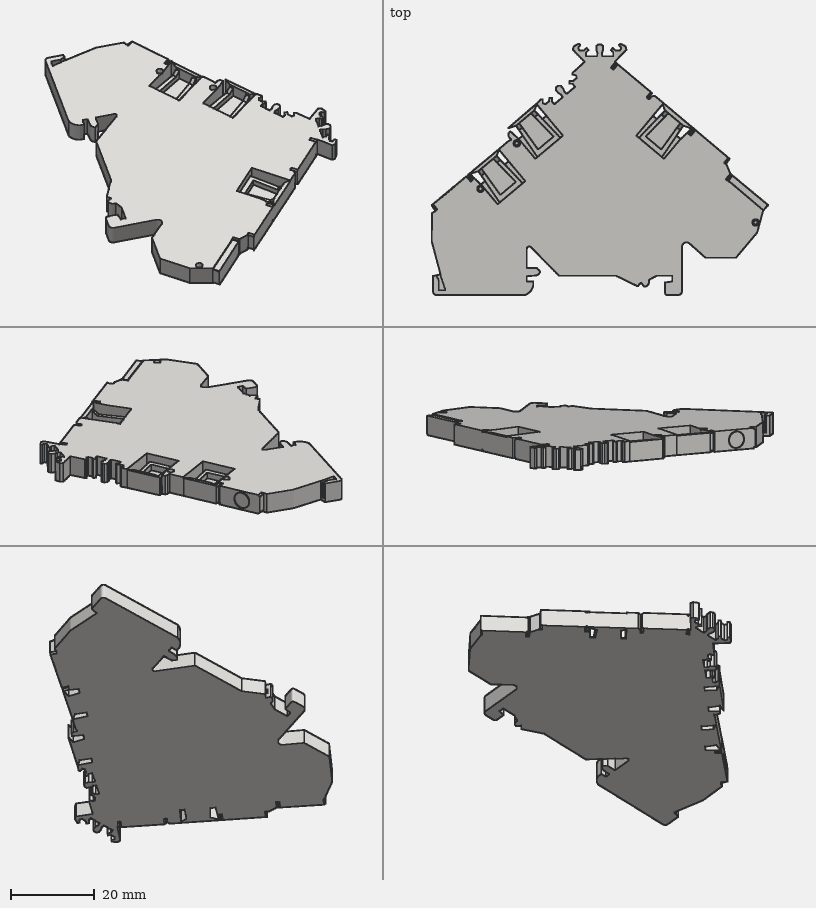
import cadquery as cq
import math

THICKNESS = 5.0
FLANK_ANGLE = 40.0
FACE_ANGLE = math.radians(FLANK_ANGLE)
LEFT_INWARD = FLANK_ANGLE - 90
RIGHT_INWARD = -90 - FLANK_ANGLE
CENTRE_X = 40.1

CROWN_BASE = (CENTRE_X, 57.0)
COMB_BASE = (31.7, 47.6)
SNAP_HALF = [
    (5.0, 3.0), (4.6, 2.65), (5.1, 1.9), (4.8, 1.4), (3.8, 1.4), (3.1, 1.9), (2.65, 1.45),
    (3.2, 0.9), (3.2, 0.0), (0.65, 0.0), (0.6, 0.7), (0.8, 1.45), (0.8, 2.4), (0.3, 2.8),
]
CROWN_HOOK_BACK = [(3.6, -1.4), (6.4, 1.5), (6.2, 2.3)]

UPPER_POCKET = (24.7, 32.5)
LOWER_POCKET = (15.75, 21.7)
POCKET_OPENING = [
    (0, 0), (8.6, 0), (8.6, 9.7), (7.3, 9.0), (1.5, 9.0), (-0.3, 9.7), (-0.3, 8.8), (0, 6.2),
]
CLAMP_BODY = [(0.65, 0), (7.8, 0), (7.2, 9.0), (1.5, 9.0)]
CLAMP_RECESS = [(1.9, 1.3), (6.75, 1.3), (6.2, 9.0), (2.5, 9.0)]
FACE_STRIP = [(-0.3, 9.7), (1.5, 9.0), (7.3, 9.0), (8.6, 9.7), (8.6, 10.45), (-0.3, 10.45)]
GAP_START = 6.2
RAMP_START = 7.7
POCKET_END = 9.0
POCKET_SPAN = 24.1
POCKET_FLOOR = 1.45
SIDE_FLOOR = 0.4
RIM_HEIGHT = 3.0
RAMP_TOP = 4.0
STRIP_RECESS = 0.25

LEFT_GROOVES = [(0.0, 21.45), (8.75, 28.8)]
RIGHT_GROOVES = [(44.1, 55.25), (52.6, 48.2), (62.6, 39.5), (71.1, 32.5), (71.6, 28.6), (80.3, 21.45)]
GROOVE_LENGTH = 1.6
GROOVE_DEPTH = 0.4
LEFT_SLOT = (8.4, 28.5)
RIGHT_SLOT = (71.4, 28.75)
SLOT_WIDTH = 0.4

LEDGE = [(71.6, 28.7), (80.3, 21.45), (79.1, 20.2), (70.6, 27.5)]

TEST_POINTS = [(20.3, 36.2), (11.65, 25.4), (77.25, 17.35)]
TEST_POINT_RADIUS = 0.8
TEST_POINT_BOTTOM_RADIUS = 0.5
TEST_POINT_DEPTH = 1.2
MARK_RADIUS = 2.0
MARK_DEPTH = 0.2
MARK_CENTRE = (3.8, 24.6)
SPRING_SLOT = [(2.1, 4.8), (3.3, 1.2), (1.7, 1.2), (1.7, 3.6), (1.1, 4.65), (1.5, 5.2)]
SPRING_SLOT_FLOOR = 0.8
LATCH_NOTCH = (49.95, 3.0)
LATCH_RELIEF_RADIUS = 0.5
LATCH_RELIEF_Z = (1.85, 3.2)


def snap_points(base, angle):
    """Snap profile from its left hook tip to its right hook tip, turned by angle about its base."""
    left = [(-u, v) for u, v in SNAP_HALF]
    return [placed(point, base, angle) for point in left + SNAP_HALF[::-1]]


def placed(point, base, angle):
    """Point at (u, v) in axes turned by angle about base."""
    u, v = point
    c = math.cos(angle)
    s = math.sin(angle)
    return (base[0] + u * c - v * s, base[1] + u * s + v * c)


def prism(points, bottom, top):
    """Upright block with the given outline, between two heights."""
    return cq.Workplane("XY").workplane(offset=bottom).polyline(points).close().extrude(top - bottom)


def mirrored(shape):
    return shape.mirror("YZ", (CENTRE_X, 0, 0))


def plate():
    """Full-height housing outline, clockwise from the spring hook at the lower left."""
    hook_left = [placed((-u, v), CROWN_BASE, 0) for u, v in CROWN_HOOK_BACK]
    hook_right = [placed(point, CROWN_BASE, 0) for point in CROWN_HOOK_BACK[::-1]]
    left_flank = [
        (2.1, 5.0), (0.0, 12.85), (0.1, 19.6), (0.9, 20.1), (0.0, 21.45), (16.1, 34.85), (18.2, 36.7),
        (18.95, 37.1), (18.4, 37.75), (18.2, 38.5), (18.8, 39.1), (19.3, 39.0), (18.2, 39.8), (25.1, 45.8),
        (25.6, 46.25),
    ]
    right_flank = [
        (52.6, 48.2), (51.55, 46.8), (52.45, 47.5), (53.25, 47.55), (71.1, 32.5), (70.3, 31.4), (71.2, 29.0),
        (80.3, 21.45), (79.1, 20.2), (77.65, 14.9), (72.6, 8.9), (65.3, 8.9), (61.5, 12.3),
    ]
    upper = left_flank + snap_points(COMB_BASE, FACE_ANGLE) + [(34.2, 53.6)]
    upper += hook_left + snap_points(CROWN_BASE, 0) + hook_right + right_flank
    return (
        cq.Workplane("XY")
        .moveTo(0.3, 4.6)
        .polyline(upper, includeCurrent=True)
        .radiusArc((59.75, 11.5), -1.05)
        .lineTo(59.75, 1.05)
        .radiusArc((58.7, 0.0), 1.05)
        .lineTo(56.2, 0.0)
        .radiusArc((55.65, 0.6), 0.6)
        .polyline([(55.65, 3.05), (57.35, 3.3), (57.35, 4.6), (53.65, 4.6), (51.8, 3.6)], includeCurrent=True)
        .radiusArc((50.7, 2.0), 1.2)
        .polyline([LATCH_NOTCH, (49.15, 2.1), (44.0, 4.6), (30.4, 4.6), (23.6, 11.5)], includeCurrent=True)
        .radiusArc((22.7, 11.2), -0.6)
        .polyline([(22.7, 6.5), (25.05, 6.5), (25.9, 5.6)], includeCurrent=True)
        .radiusArc((24.9, 4.65), 1.6)
        .polyline([(22.7, 4.5), (22.7, 3.3), (24.25, 3.3), (24.25, 2.25)], includeCurrent=True)
        .radiusArc((22.25, 0.0), 3.2)
        .lineTo(1.2, 0.0)
        .radiusArc((0.3, 0.9), 0.9)
        .close()
        .extrude(THICKNESS)
    )


def pocket_void():
    """Removed volume of one clamp pocket, in pocket coordinates."""
    opening = prism(POCKET_OPENING, SIDE_FLOOR, THICKNESS)
    gap_zone = cq.Workplane("XY").rect(POCKET_SPAN, POCKET_SPAN).extrude(THICKNESS)
    gap_zone = gap_zone.translate((0, GAP_START + POCKET_SPAN / 2, 0))
    gaps = prism(POCKET_OPENING, 0, THICKNESS).intersect(gap_zone)
    rim = prism(CLAMP_BODY, 0, RIM_HEIGHT)
    ramp = (
        cq.Workplane("YZ")
        .polyline([(RAMP_START, RIM_HEIGHT), (POCKET_END, RIM_HEIGHT), (POCKET_END, RAMP_TOP)])
        .close()
        .extrude(POCKET_SPAN)
        .intersect(prism(CLAMP_BODY, 0, THICKNESS))
    )
    recess = prism(CLAMP_RECESS, POCKET_FLOOR, THICKNESS)
    strip = prism(FACE_STRIP, THICKNESS - STRIP_RECESS, THICKNESS)
    return opening.union(gaps).cut(rim.union(ramp)).union(recess).union(strip)


def on_left_flank(shape, corner):
    return shape.rotate((0, 0, 0), (0, 0, 1), FLANK_ANGLE).translate((corner[0], corner[1], 0))


def running_inwards(bar, outer_end, inward_angle):
    return bar.rotate((0, 0, 0), (0, 0, 1), inward_angle).translate((outer_end[0], outer_end[1], 0))


def groove(outer_end, inward_angle):
    """Chamfer groove across both plate faces, running inwards from a flank."""
    side = GROOVE_DEPTH * math.sqrt(2)
    bar = cq.Workplane("YZ").rect(side, side).extrude(GROOVE_LENGTH).rotate((0, 0, 0), (1, 0, 0), 45)
    bar = running_inwards(bar, outer_end, inward_angle)
    return bar.union(bar.translate((0, 0, THICKNESS)))


def through_slot(outer_end, inward_angle):
    bar = cq.Workplane("YZ").rect(SLOT_WIDTH, 2 * THICKNESS).extrude(GROOVE_LENGTH)
    return running_inwards(bar, outer_end, inward_angle)


def test_point(centre):
    return (
        cq.Workplane("XY", origin=(centre[0], centre[1], THICKNESS))
        .circle(TEST_POINT_RADIUS)
        .workplane(offset=-TEST_POINT_DEPTH)
        .circle(TEST_POINT_BOTTOM_RADIUS)
        .loft()
    )


def wire_entry_mark():
    outward = (-math.sin(FACE_ANGLE), math.cos(FACE_ANGLE), 0)
    face = cq.Plane((MARK_CENTRE[0], MARK_CENTRE[1], THICKNESS / 2), (0, 0, 1), outward)
    return cq.Workplane(face).circle(MARK_RADIUS).extrude(MARK_DEPTH, both=True)


def latch_relief():
    bottom, top = LATCH_RELIEF_Z
    start = cq.Workplane("XY", origin=(LATCH_NOTCH[0], LATCH_NOTCH[1], bottom))
    return start.circle(LATCH_RELIEF_RADIUS).extrude(top - bottom)


result = plate()
void = pocket_void()
upper_void = on_left_flank(void, UPPER_POCKET)
for cutter in (upper_void, mirrored(upper_void), on_left_flank(void, LOWER_POCKET)):
    result = result.cut(cutter)
for end in LEFT_GROOVES:
    result = result.cut(groove(end, LEFT_INWARD))
for end in RIGHT_GROOVES:
    result = result.cut(groove(end, RIGHT_INWARD))
result = result.cut(through_slot(LEFT_SLOT, LEFT_INWARD)).cut(through_slot(RIGHT_SLOT, RIGHT_INWARD))
for centre in TEST_POINTS:
    result = result.cut(test_point(centre))
result = result.cut(prism(LEDGE, THICKNESS - STRIP_RECESS, THICKNESS))
result = result.cut(prism(SPRING_SLOT, SPRING_SLOT_FLOOR, THICKNESS))
result = result.cut(wire_entry_mark())
result = result.cut(latch_relief())